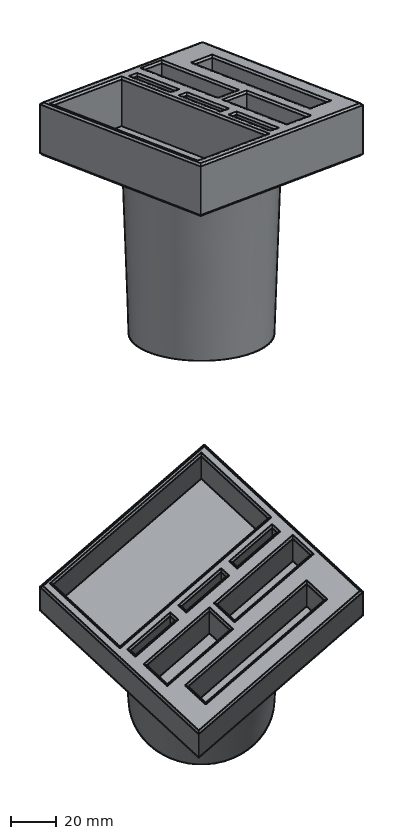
import cadquery as cq

total_height = 109.0
plate_side = 100.0
plate_height = 25.0
plate_bottom = total_height - plate_height
edge_chamfer = 1.0

stem_top_diameter = 70.0
stem_bottom_diameter = 64.0

floor_thickness = 2.0
pocket_depth = plate_height - floor_thickness

slot_length = 26.0
slot_width = 5.0
slot_pitch = 31.0
slot_y = 1.4

long_pocket = (1.1, 35.5, 73.9, 13.0)
left_pocket = (-22.9, 15.5, 48.0, 13.0)
right_pocket = (23.9, 16.5, 40.0, 14.8)
main_tray = (0, -25.7, 92.0, 44.0)
slots = [(i * slot_pitch, slot_y, slot_length, slot_width) for i in (-1, 0, 1)]


def make_plate():
    """Square plate with chamfered top and bottom rims."""
    base = cq.Workplane("XY").workplane(offset=plate_bottom)
    plate = base.rect(plate_side, plate_side).extrude(plate_height)
    return plate.faces("<Z or >Z").chamfer(edge_chamfer)


def make_stem():
    """Round stem that narrows towards its free end."""
    stem = cq.Workplane("XY").circle(stem_bottom_diameter / 2)
    return stem.workplane(offset=plate_bottom).circle(stem_top_diameter / 2).loft(ruled=True)


def make_pocket(x, y, mouth_length, mouth_width):
    """Cutting body of a straight pocket with a chamfered mouth."""
    length = mouth_length - 2 * edge_chamfer
    width = mouth_width - 2 * edge_chamfer
    top = cq.Workplane("XY", origin=(x, y, total_height))
    well = top.rect(length, width).extrude(-pocket_depth)
    mouth = (
        top.rect(mouth_length, mouth_width)
        .workplane(offset=-edge_chamfer)
        .rect(length, width)
        .loft(ruled=True)
    )
    return well.union(mouth)


result = make_plate().union(make_stem())
for pocket in [long_pocket, left_pocket, right_pocket, main_tray, *slots]:
    result = result.cut(make_pocket(*pocket))